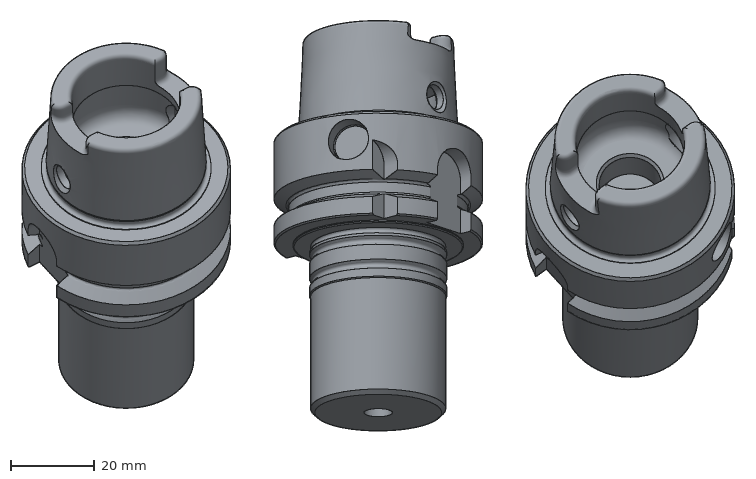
import cadquery as cq
import math

TOTAL_HEIGHT = 93.0

MOUTH_ROUND = 1.1
TAPER_FOOT_Z = 69.9
TAPER_FOOT_RADIUS = 38.4 / 2
TAPER_RATIO = 9.98
NECK_RADIUS = 38.0 / 2
NECK_CHAMFER_END_Z = 69.4
TAPER_TOP_RADIUS = TAPER_FOOT_RADIUS - (TOTAL_HEIGHT - TAPER_FOOT_Z) / TAPER_RATIO / 2

FLANGE_RADIUS = 50.0 / 2
FLANGE_TOP_Z = 68.1
FLANGE_TOP_CHAMFER = 0.65
FLANGE_BOTTOM_Z = 42.0
FLANGE_BOTTOM_CHAMFER = 0.4
RELIEF_RADIUS = 20.4
RELIEF_FILLET = 0.7
RELIEF_FLOOR_Z = 67.9
GROOVE_RADIUS = 21.5
GROOVE_MOUTH_TOP_Z = 53.4
GROOVE_MOUTH_BOTTOM_Z = 46.6
GROOVE_FLANK_RADIUS = 22.1
GROOVE_FLANK_DROP = 1.5
GROOVE_CORNER = GROOVE_FLANK_RADIUS - GROOVE_RADIUS

BOSS_RADIUS = 20.5
BOSS_CHAMFER = 0.3
BOSS_BOTTOM_Z = 41.5

SHANK_RADIUS = 32.5 / 2
SHANK_CHAMFER = 1.0
COLLAR_RADIUS = 16.5
COLLAR_CHAMFER_HEIGHT = 0.6
COLLAR_BOTTOM_Z = 29.2
COLLAR_BOTTOM_STEP = 0.3
RING_GROOVE_PITCH = 5.95
RING_GROOVE_TOP_Z = 38.9
RING_GROOVE_HEIGHT = 1.1
RING_GROOVE_EDGE_RADIUS = 32.0 / 2
RING_GROOVE_SAG = 0.3
UPPER_GROOVE_TOP_Z = BOSS_BOTTOM_Z
UPPER_GROOVE_CHAMFER_HEIGHT = 0.3

BORE_RADIUS = 26.0 / 2
UNDERCUT_RADIUS = 15.25
UNDERCUT_TOP_Z = 83.0
SHOULDER_ANGLE = 30.0
UNDERCUT_FLOOR_Z = 70.2
UNDERCUT_FILLET = 3.4
TUBE_SEAT_RADIUS = 14.9 / 2
TUBE_SEAT_DEPTH = 9.3
TUBE_SEAT_CHAMFER = 0.7
COOLANT_HOLE_DIAMETER = 6.8

SLOT_HALF_WIDTH = 5.3
SLOT_END_RADIUS = 2.5
SLOT_END_CENTER_Y = 13.9
SLOT_FLOOR_FILLET = 1.4
FRONT_SLOT_FLOOR_Z = 88.5
BACK_SLOT_FLOOR_Z = 85.4

CROSS_HOLE_DIAMETER = 6.0
CROSS_HOLE_Z = 75.4
CROSS_HOLE_SINK = 0.8

KEYWAY_WIDTH = 12.2
KEYWAY_CENTER_Z = 55.0
KEYWAY_FLOOR = 20.9
NOTCH_WALL = 15.4

POCKET_DIAMETER = 10.0
POCKET_Z = 61.2
POCKET_ANGLE = 24.3
POCKET_FLOOR = 20.0
POCKET_FLOOR_CHAMFER = 0.3

CLEARANCE = 4.65


def make_body():
    """Turned outer shape, with the taper mouth still sharp."""
    groove_flank_top_z = GROOVE_MOUTH_TOP_Z - GROOVE_FLANK_DROP
    groove_flank_bottom_z = GROOVE_MOUTH_BOTTOM_Z + GROOVE_FLANK_DROP
    corner_mid = GROOVE_CORNER * (1 - math.sqrt(0.5))
    corner_mid_radius = GROOVE_RADIUS + corner_mid
    relief_mid = RELIEF_FILLET * (1 - math.sqrt(0.5))
    upper_groove_bottom_z = UPPER_GROOVE_TOP_Z - RING_GROOVE_HEIGHT

    profile = (
        cq.Workplane("XZ")
        .moveTo(0, 0)
        .lineTo(SHANK_RADIUS - SHANK_CHAMFER, 0)
        .lineTo(SHANK_RADIUS, SHANK_CHAMFER)
        .lineTo(SHANK_RADIUS, COLLAR_BOTTOM_Z - COLLAR_BOTTOM_STEP)
        .lineTo(COLLAR_RADIUS, COLLAR_BOTTOM_Z)
    )
    for top_z in (RING_GROOVE_TOP_Z - RING_GROOVE_PITCH, RING_GROOVE_TOP_Z):
        bottom_z = top_z - RING_GROOVE_HEIGHT
        profile = (
            profile
            .lineTo(COLLAR_RADIUS, bottom_z - COLLAR_CHAMFER_HEIGHT)
            .lineTo(RING_GROOVE_EDGE_RADIUS, bottom_z)
            .threePointArc(
                (RING_GROOVE_EDGE_RADIUS - RING_GROOVE_SAG, (bottom_z + top_z) / 2),
                (RING_GROOVE_EDGE_RADIUS, top_z),
            )
            .lineTo(COLLAR_RADIUS, top_z + COLLAR_CHAMFER_HEIGHT)
        )
    profile = (
        profile
        .lineTo(COLLAR_RADIUS, upper_groove_bottom_z - UPPER_GROOVE_CHAMFER_HEIGHT)
        .lineTo(SHANK_RADIUS, upper_groove_bottom_z)
        .threePointArc(
            (SHANK_RADIUS - RING_GROOVE_SAG, (upper_groove_bottom_z + UPPER_GROOVE_TOP_Z) / 2),
            (SHANK_RADIUS, UPPER_GROOVE_TOP_Z),
        )
        .lineTo(BOSS_RADIUS - BOSS_CHAMFER, BOSS_BOTTOM_Z)
        .lineTo(BOSS_RADIUS, BOSS_BOTTOM_Z + BOSS_CHAMFER)
        .lineTo(BOSS_RADIUS, FLANGE_BOTTOM_Z)
        .lineTo(FLANGE_RADIUS - FLANGE_BOTTOM_CHAMFER, FLANGE_BOTTOM_Z)
        .lineTo(FLANGE_RADIUS, FLANGE_BOTTOM_Z + FLANGE_BOTTOM_CHAMFER)
        .lineTo(FLANGE_RADIUS, GROOVE_MOUTH_BOTTOM_Z)
        .lineTo(GROOVE_FLANK_RADIUS, groove_flank_bottom_z)
        .threePointArc(
            (corner_mid_radius, groove_flank_bottom_z + corner_mid),
            (GROOVE_RADIUS, groove_flank_bottom_z + GROOVE_CORNER),
        )
        .lineTo(GROOVE_RADIUS, groove_flank_top_z - GROOVE_CORNER)
        .threePointArc(
            (corner_mid_radius, groove_flank_top_z - corner_mid),
            (GROOVE_FLANK_RADIUS, groove_flank_top_z),
        )
        .lineTo(FLANGE_RADIUS, GROOVE_MOUTH_TOP_Z)
        .lineTo(FLANGE_RADIUS, FLANGE_TOP_Z - FLANGE_TOP_CHAMFER)
        .lineTo(FLANGE_RADIUS - FLANGE_TOP_CHAMFER, FLANGE_TOP_Z)
        .lineTo(RELIEF_RADIUS, FLANGE_TOP_Z)
        .lineTo(RELIEF_RADIUS, RELIEF_FLOOR_Z)
        .lineTo(NECK_RADIUS + RELIEF_FILLET, RELIEF_FLOOR_Z)
        .threePointArc(
            (NECK_RADIUS + relief_mid, RELIEF_FLOOR_Z + relief_mid),
            (NECK_RADIUS, RELIEF_FLOOR_Z + RELIEF_FILLET),
        )
        .lineTo(NECK_RADIUS, NECK_CHAMFER_END_Z)
        .lineTo(TAPER_FOOT_RADIUS, TAPER_FOOT_Z)
        .lineTo(TAPER_TOP_RADIUS, TOTAL_HEIGHT)
        .lineTo(0, TOTAL_HEIGHT)
        .close()
    )
    return profile.revolve(360, (0, 0), (0, 1))


def make_bore():
    """Stepped cavity: mouth bore, undercut, coolant tube seat and through hole."""
    fillet_mid = UNDERCUT_FILLET * (1 - math.sqrt(0.5))
    shoulder_width = UNDERCUT_RADIUS - BORE_RADIUS
    shoulder_drop = shoulder_width * math.tan(math.radians(SHOULDER_ANGLE))
    seat_floor_z = UNDERCUT_FLOOR_Z - TUBE_SEAT_DEPTH
    coolant_radius = COOLANT_HOLE_DIAMETER / 2
    return (
        cq.Workplane("XZ")
        .moveTo(0, -CLEARANCE)
        .lineTo(coolant_radius, -CLEARANCE)
        .lineTo(coolant_radius, seat_floor_z)
        .lineTo(TUBE_SEAT_RADIUS, seat_floor_z)
        .lineTo(TUBE_SEAT_RADIUS, UNDERCUT_FLOOR_Z - TUBE_SEAT_CHAMFER)
        .lineTo(TUBE_SEAT_RADIUS + TUBE_SEAT_CHAMFER, UNDERCUT_FLOOR_Z)
        .lineTo(UNDERCUT_RADIUS - UNDERCUT_FILLET, UNDERCUT_FLOOR_Z)
        .threePointArc(
            (UNDERCUT_RADIUS - fillet_mid, UNDERCUT_FLOOR_Z + fillet_mid),
            (UNDERCUT_RADIUS, UNDERCUT_FLOOR_Z + UNDERCUT_FILLET),
        )
        .lineTo(UNDERCUT_RADIUS, UNDERCUT_TOP_Z - shoulder_drop)
        .lineTo(BORE_RADIUS, UNDERCUT_TOP_Z)
        .lineTo(BORE_RADIUS, TOTAL_HEIGHT + CLEARANCE)
        .lineTo(0, TOTAL_HEIGHT + CLEARANCE)
        .close()
        .revolve(360, (0, 0), (0, 1))
    )


def make_drive_slot(side, floor_z):
    """Slot through the mouth wall on one Y side; its outer end flares over the ring ends."""
    flare_x = SLOT_HALF_WIDTH + SLOT_END_RADIUS
    flare_y = SLOT_END_CENTER_Y + SLOT_END_RADIUS
    arc_mid = SLOT_END_RADIUS * math.sqrt(0.5)
    arc_mid_x = flare_x - arc_mid
    arc_mid_y = SLOT_END_CENTER_Y + arc_mid
    outer_x = flare_x + CLEARANCE
    outer_y = FLANGE_RADIUS
    slot = (
        cq.Workplane("XY", origin=(0, 0, floor_z))
        .moveTo(-SLOT_HALF_WIDTH, 0)
        .lineTo(SLOT_HALF_WIDTH, 0)
        .lineTo(SLOT_HALF_WIDTH, side * SLOT_END_CENTER_Y)
        .threePointArc((arc_mid_x, side * arc_mid_y), (flare_x, side * flare_y))
        .lineTo(outer_x, side * flare_y)
        .lineTo(outer_x, side * outer_y)
        .lineTo(-outer_x, side * outer_y)
        .lineTo(-outer_x, side * flare_y)
        .lineTo(-flare_x, side * flare_y)
        .threePointArc((-arc_mid_x, side * arc_mid_y), (-SLOT_HALF_WIDTH, side * SLOT_END_CENTER_Y))
        .close()
        .extrude(TOTAL_HEIGHT - floor_z)
        .faces("<Z").edges().fillet(SLOT_FLOOR_FILLET)
    )
    reach = FLANGE_RADIUS + CLEARANCE
    slab_size = 2 * (reach + CLEARANCE)
    slab = (
        cq.Workplane("XY", origin=(0, 0, TOTAL_HEIGHT))
        .rect(slab_size, slab_size)
        .extrude(CLEARANCE)
    )
    slot_edges = cq.selectors.BoxSelector(
        (-reach, -reach, TOTAL_HEIGHT - MOUTH_ROUND / 2),
        (reach, reach, TOTAL_HEIGHT + MOUTH_ROUND / 2),
    )
    return slot.union(slab).edges(slot_edges).fillet(MOUTH_ROUND)


def make_cross_hole(side):
    """Hole along Y through the taper wall on one side, countersunk at both ends."""
    outer_wall = TAPER_FOOT_RADIUS - (CROSS_HOLE_Z - TAPER_FOOT_Z) / TAPER_RATIO / 2
    hole_radius = CROSS_HOLE_DIAMETER / 2
    wide_radius = hole_radius + 2 * CROSS_HOLE_SINK
    return (
        cq.Workplane("XY", origin=(0, 0, CROSS_HOLE_Z))
        .moveTo(0, side * (UNDERCUT_RADIUS - CROSS_HOLE_SINK))
        .lineTo(wide_radius, side * (UNDERCUT_RADIUS - CROSS_HOLE_SINK))
        .lineTo(hole_radius, side * (UNDERCUT_RADIUS + CROSS_HOLE_SINK))
        .lineTo(hole_radius, side * (outer_wall - CROSS_HOLE_SINK))
        .lineTo(wide_radius, side * (outer_wall + CROSS_HOLE_SINK))
        .lineTo(0, side * (outer_wall + CROSS_HOLE_SINK))
        .close()
        .revolve(360, (0, 0), (0, 1))
    )


def make_round_topped_slot(center_x, floor_distance, side):
    """Round-topped slot, open downward, cut from outside the flange to a flat floor on one Y side."""
    depth = FLANGE_RADIUS + CLEARANCE - floor_distance
    half_width = KEYWAY_WIDTH / 2
    bottom_z = FLANGE_BOTTOM_Z
    return (
        cq.Workplane("XZ", origin=(0, side * floor_distance, 0))
        .moveTo(center_x - half_width, bottom_z)
        .lineTo(center_x + half_width, bottom_z)
        .lineTo(center_x + half_width, KEYWAY_CENTER_Z)
        .threePointArc(
            (center_x, KEYWAY_CENTER_Z + half_width),
            (center_x - half_width, KEYWAY_CENTER_Z),
        )
        .close()
        .extrude(-side * depth)
    )


def make_chip_pocket():
    """Blind radial pocket in the upper flange rim, its flat floor edged by a small chamfer."""
    return (
        cq.Workplane("XY", origin=(0, 0, POCKET_FLOOR))
        .circle(POCKET_DIAMETER / 2)
        .extrude(FLANGE_RADIUS + CLEARANCE - POCKET_FLOOR)
        .faces("<Z").chamfer(POCKET_FLOOR_CHAMFER)
        .rotate((0, 0, 0), (0, 1, 0), -90)
        .rotate((0, 0, 0), (0, 0, 1), POCKET_ANGLE)
        .translate((0, 0, POCKET_Z))
    )


result = make_body().cut(make_bore())
result = result.faces(">Z").edges().fillet(MOUTH_ROUND)
result = result.cut(make_drive_slot(-1, FRONT_SLOT_FLOOR_Z))
result = result.cut(make_drive_slot(1, BACK_SLOT_FLOOR_Z))
for y_side in (-1, 1):
    result = result.cut(make_cross_hole(y_side))
    result = result.cut(make_round_topped_slot(0, KEYWAY_FLOOR, y_side))
result = result.cut(make_round_topped_slot(-NOTCH_WALL - KEYWAY_WIDTH / 2, NOTCH_WALL, -1))
result = result.cut(make_chip_pocket())